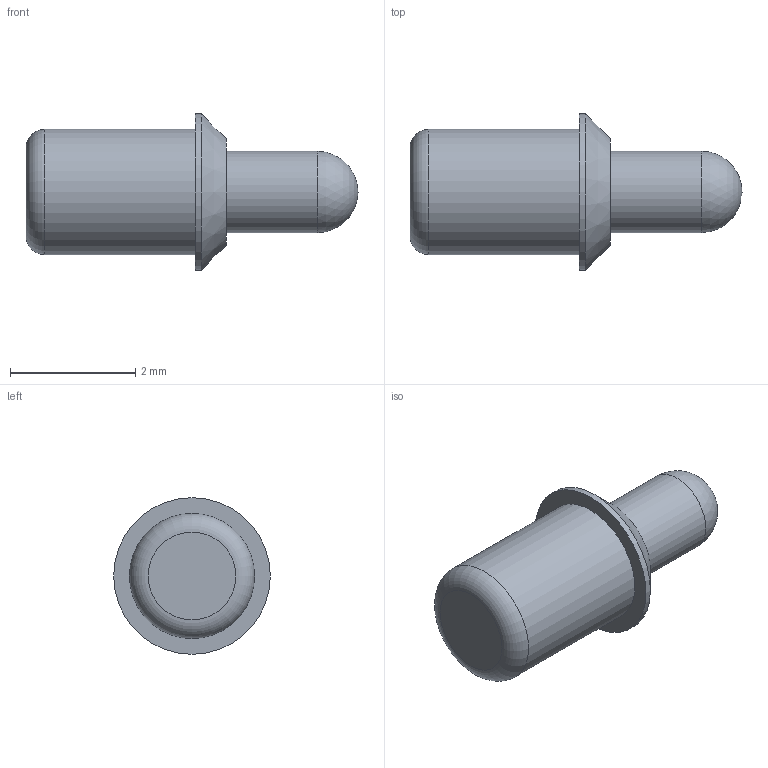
import cadquery as cq

body_radius = 1.0
body_length = 2.7
body_end_fillet = 0.3
flange_radius = 1.25
flange_rim_width = 0.1
flange_chamfer = 0.4
plunger_radius = 0.65
overall_length = 5.3

rim_end_x = body_length + flange_rim_width
cone_end_x = rim_end_x + flange_chamfer
cone_end_radius = flange_radius - flange_chamfer
tip_start_x = overall_length - plunger_radius


def make_body():
    """Barrel with a rounded closed end at X = 0."""
    barrel = cq.Workplane("YZ").circle(body_radius).extrude(body_length)
    return barrel.faces("<X").edges().fillet(body_end_fillet)


def make_flange_and_plunger():
    """Collar with a conical shoulder, followed by the round-tipped plunger."""
    half_profile = (
        cq.Workplane("XY")
        .moveTo(body_length, 0)
        .lineTo(body_length, flange_radius)
        .lineTo(rim_end_x, flange_radius)
        .lineTo(cone_end_x, cone_end_radius)
        .lineTo(cone_end_x, plunger_radius)
        .lineTo(tip_start_x, plunger_radius)
        .radiusArc((overall_length, 0), plunger_radius)
        .close()
    )
    return half_profile.revolve(360, (0, 0, 0), (1, 0, 0))


result = make_body().union(make_flange_and_plunger())